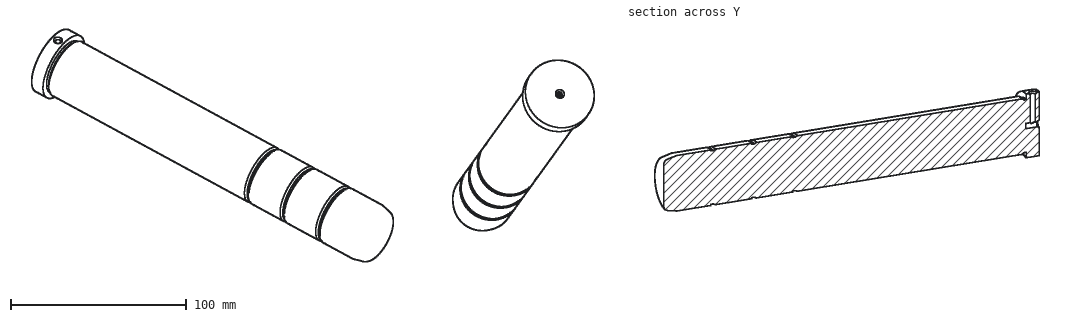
import cadquery as cq
import math

total_length = 230.0
head_diameter = 40.0
head_length = 8.0
shaft_diameter = 35.0

relief_depth = 1.0
relief_length = 2.3

groove_depth = 0.7
groove_width = 2.8
groove_pitch = 25.0
groove_count = 3
first_groove_center = 149.5

lead_length = 8.0
lead_drop = 1.8
tip_radius = 3.2

hole_diameter = 3.0
countersink_diameter = 5.0
countersink_angle = 90.0
axial_hole_depth = 8.0

head_radius = head_diameter / 2
shaft_radius = shaft_diameter / 2


def make_pin():
    """Revolve the headed shaft with its relief, tapered lead and rounded tip."""
    relief_radius = shaft_radius - relief_depth
    relief_end = head_length + relief_length
    lead_end_radius = shaft_radius - lead_drop
    profile = (
        cq.Workplane("XZ")
        .moveTo(0, 0)
        .lineTo(0, head_radius)
        .lineTo(head_length, head_radius)
        .lineTo(head_length, relief_radius)
        .lineTo(relief_end - relief_depth, relief_radius)
        .lineTo(relief_end, shaft_radius)
        .lineTo(total_length - lead_length, shaft_radius)
        .lineTo(total_length, lead_end_radius)
        .lineTo(total_length, 0)
        .close()
    )
    pin = profile.revolve(360, (0, 0, 0), (1, 0, 0))
    return pin.faces(">X").edges().fillet(tip_radius)


def make_groove(center):
    """Ring cutter with a sloped wall toward the head and a square wall toward the tip."""
    start = center - groove_width / 2
    end = center + groove_width / 2
    floor_radius = shaft_radius - groove_depth
    return (
        cq.Workplane("XZ")
        .moveTo(start, shaft_radius)
        .lineTo(center, floor_radius)
        .lineTo(end, floor_radius)
        .lineTo(end, head_radius)
        .lineTo(start, head_radius)
        .close()
        .revolve(360, (0, 0, 0), (1, 0, 0))
    )


def make_countersunk_hole(mouth, direction, depth):
    """Drill cutter with a conical mouth, entering at a point along a direction."""
    countersink_radius = countersink_diameter / 2
    countersink_depth = countersink_radius / math.tan(math.radians(countersink_angle / 2))
    drill = cq.Solid.makeCylinder(hole_diameter / 2, depth, mouth, direction)
    cone = cq.Solid.makeCone(countersink_radius, 0, countersink_depth, mouth, direction)
    return cq.Workplane(drill).union(cq.Workplane(cone))


pin = make_pin()
for index in range(groove_count):
    pin = pin.cut(make_groove(first_groove_center + index * groove_pitch))

axial_hole = make_countersunk_hole(cq.Vector(0, 0, 0), cq.Vector(1, 0, 0), axial_hole_depth)
radial_hole = make_countersunk_hole(
    cq.Vector(head_length / 2, 0, head_radius), cq.Vector(0, 0, -1), head_radius
)
result = pin.cut(axial_hole).cut(radial_hole)